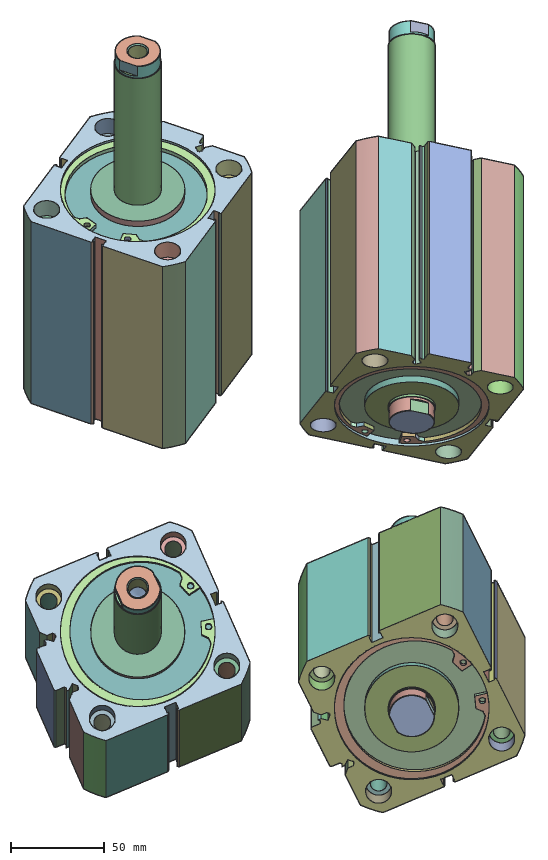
import cadquery as cq
import math


housing_length = 132.0
housing_width = 96.5
housing_depth = 102.0
half_width = housing_width / 2
corner_radius = 62.2
bore_radius = 41.1

rail_top = housing_depth - half_width
rail_half_width = 12.5
rail_edge_chamfer = 0.7
rail_lip_half_width = 15.0
rail_lip_top = 48.0
rail_notch_x = 13.5
rail_notch_y = 47.2
rail_lip_bottom = 46.2
groove_undercut_x = 12.5
groove_undercut_y = 43.3
groove_floor_inner_x = 14.8
groove_floor_outer_x = 16.0
groove_floor_y = 41.1
groove_wall_x = 17.0
groove_wall_bottom = 42.0
groove_wall_top = 45.3
groove_mouth_x = 20.0

slot_depth = 4.5
slot_width = 6.5
slot_half_width = slot_width / 2
slot_lip_depth = 1.2
slot_throat_half_width = 2.5
slot_mouth_half_width = 3.5

mount_pitch = 72.0
mount_hole_diameter = 9.0
counterbore_diameter = 13.8
counterbore_depth = 11.0

ring_recess = 1.5
ring_thickness = 2.5
ring_inner_radius = 37.8
ring_inner_offset = -1.82
ear_root = (21.0, -33.5)
ear_shoulder = (18.0, -33.5)
ear_top = (14.8, -30.7)
ear_inner_corner = (8.0, -33.2)
ear_gap_width = 18.6
ear_hole = (12.0, -35.8)
ear_hole_diameter = 3.5

cover_thickness = 19.4
boss_diameter = 50.0

rod_radius = 12.5
rod_length = 242.0
rod_top = 232.0
rod_bottom = rod_top - rod_length
neck_length = 8.5
neck_radius = 12.0
neck_chamfer = 0.2
flat_length = 7.0
flat_half_distance = 11.0
socket_radius = 5.0
socket_chamfer = 0.7
socket_depth = 19.4
socket_tip_angle = 118


def housing_outline():
    """Closed plan outline: square with arc corners, and the rail on +Y."""
    corner = math.sqrt(corner_radius**2 - half_width**2)
    arc_mid = corner_radius * math.sqrt(0.5)
    right_of_rail = [
        (rail_half_width - rail_edge_chamfer, rail_top),
        (rail_half_width, rail_top - rail_edge_chamfer),
        (rail_half_width, rail_lip_top),
        (rail_notch_x, rail_notch_y),
        (rail_lip_half_width, rail_lip_top),
        (rail_lip_half_width, rail_lip_bottom),
        (groove_undercut_x, groove_undercut_y),
        (groove_floor_inner_x, groove_floor_y),
        (groove_floor_outer_x, groove_floor_y),
        (groove_wall_x, groove_wall_bottom),
        (groove_wall_x, groove_wall_top),
        (groove_mouth_x, half_width),
    ]
    left_of_rail = [(-x, y) for x, y in reversed(right_of_rail)]
    return (
        cq.Workplane("XY")
        .polyline(left_of_rail + right_of_rail)
        .lineTo(corner, half_width)
        .threePointArc((arc_mid, arc_mid), (half_width, corner))
        .lineTo(half_width, -corner)
        .threePointArc((arc_mid, -arc_mid), (corner, -half_width))
        .lineTo(-corner, -half_width)
        .threePointArc((-arc_mid, -arc_mid), (-half_width, -corner))
        .lineTo(-half_width, corner)
        .threePointArc((-arc_mid, arc_mid), (-corner, half_width))
        .close()
    )


def sensor_slot():
    """Cutter for the undercut slot with flared lips in the +X side."""
    slot_floor = half_width - slot_depth
    lip_inner = half_width - slot_lip_depth
    throat = half_width - slot_lip_depth / 2
    upper_half = [
        (slot_floor, slot_half_width),
        (lip_inner, slot_half_width),
        (lip_inner, slot_throat_half_width),
        (throat, slot_throat_half_width),
        (half_width, slot_mouth_half_width),
    ]
    lower_half = [(x, -y) for x, y in reversed(upper_half)]
    return cq.Workplane("XY").polyline(upper_half + lower_half).close().extrude(housing_length)


def make_housing():
    body = housing_outline().extrude(housing_length)
    body = body.cut(cq.Workplane("XY").circle(bore_radius).extrude(housing_length))
    for angle in (0, 180, 270):
        body = body.cut(sensor_slot().rotate((0, 0, 0), (0, 0, 1), angle))
    for face in (">Z", "<Z"):
        body = (
            body.faces(face).workplane(origin=(0, 0, 0))
            .rect(mount_pitch, mount_pitch, forConstruction=True).vertices()
            .cboreHole(mount_hole_diameter, counterbore_diameter, counterbore_depth)
        )
    return body


def make_snap_ring():
    """Snap ring at the top end of the bore, open towards -Y between its two eared ends."""
    ear_end_x = ear_gap_width / 2
    ear_end = (ear_end_x, -math.sqrt(bore_radius**2 - ear_end_x**2))
    right_ear = [ear_root, ear_shoulder, ear_top, ear_inner_corner, ear_end]
    left_ear = [(-x, y) for x, y in reversed(right_ear)]
    ring = (
        cq.Workplane("XY")
        .polyline(right_ear)
        .threePointArc((0, bore_radius), left_ear[0])
        .polyline(left_ear, includeCurrent=False)
        .threePointArc((0, ring_inner_offset + ring_inner_radius), ear_root)
        .close()
        .extrude(ring_thickness)
    )
    hole_x, hole_y = ear_hole
    holes = (
        cq.Workplane("XY").pushPoints([(hole_x, hole_y), (-hole_x, hole_y)])
        .circle(ear_hole_diameter / 2).extrude(ring_thickness)
    )
    return ring.cut(holes).translate((0, 0, housing_length - ring_recess - ring_thickness))


def make_cover():
    """Top end cover: a disc under the snap ring, with a boss around the rod, flush with the housing."""
    disc_top = housing_length - ring_recess - ring_thickness
    cover_bottom = disc_top - cover_thickness
    boss_height = housing_length - cover_bottom
    base = cq.Workplane("XY").workplane(offset=cover_bottom)
    disc = base.circle(bore_radius).extrude(cover_thickness)
    boss = base.circle(boss_diameter / 2).extrude(boss_height)
    rod_hole = base.circle(rod_radius).extrude(boss_height)
    return disc.union(boss).cut(rod_hole)


def rod_profile():
    """Half section of the rod in the XZ plane, with a drilled socket in its top end."""
    tip_depth = socket_radius / math.tan(math.radians(socket_tip_angle / 2))
    socket_bottom = rod_top - socket_depth
    return (
        cq.Workplane("XZ")
        .polyline([
            (0, rod_bottom),
            (neck_radius - neck_chamfer, rod_bottom),
            (neck_radius, rod_bottom + neck_chamfer),
            (neck_radius, rod_bottom + neck_length),
            (rod_radius, rod_bottom + neck_length),
            (rod_radius, rod_top - neck_length),
            (neck_radius, rod_top - neck_length),
            (neck_radius, rod_top - neck_chamfer),
            (neck_radius - neck_chamfer, rod_top),
            (socket_radius + socket_chamfer, rod_top),
            (socket_radius, rod_top - socket_chamfer),
            (socket_radius, socket_bottom),
            (0, socket_bottom - tip_depth),
        ])
        .close()
    )


def make_rod():
    rod = rod_profile().revolve(360, (0, 0, 0), (0, 1, 0))
    flat_cutter = cq.Workplane("XY").box(2 * rod_radius, rod_radius, flat_length)
    flat_y = flat_half_distance + rod_radius / 2
    for flat_z in (rod_bottom + flat_length / 2, rod_top - flat_length / 2):
        for side in (1, -1):
            rod = rod.cut(flat_cutter.translate((0, side * flat_y, flat_z)))
    return rod


def at_bottom_end(body):
    """Mirror image of a top-end body about the middle of the housing."""
    return body.mirror("XY", (0, 0, housing_length / 2))


housing = make_housing()
rod = make_rod()
covers = [make_cover(), at_bottom_end(make_cover())]
snap_rings = [make_snap_ring(), at_bottom_end(make_snap_ring())]

result = cq.Compound.makeCompound([
    housing.val(),
    rod.val(),
    *[cover.val() for cover in covers],
    *[ring.val() for ring in snap_rings],
])